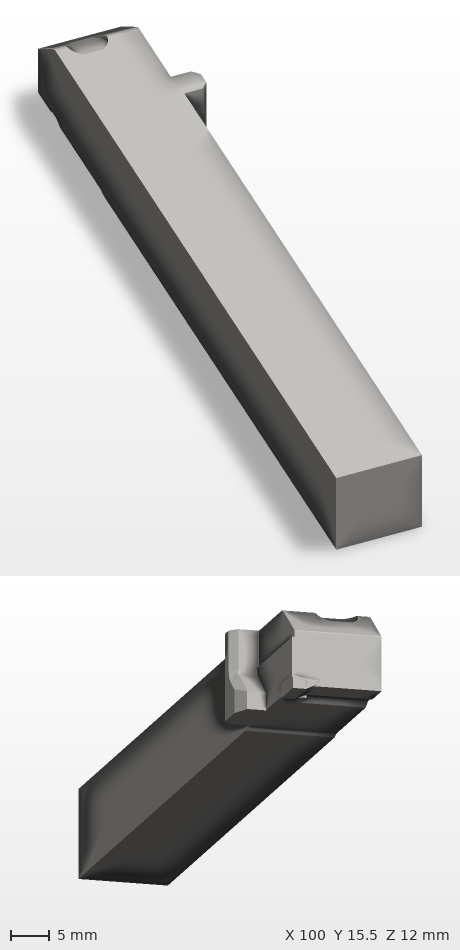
import cadquery as cq

length = 100.0
shank_width = 12.0
shank_height = 12.0
head_start = 0.6
relief_height = 0.3
relief_end = 22.4
relief_ramp = 0.8

slope_foot_z = 7.9
slope_top_x = 6.1
slope_top_bevel = 0.3
slope_foot_bevel = 0.1

recess_depth = 0.3
recess_floor_z = 7.0

tab_reach = 15.5
tab_nose_x = 12.9
tab_wall_x = 17.0
tab_back_x = 20.8
tab_nose_z = 2.7
tab_slope_end_z = 6.1
tab_blend_radius = 1.3
tab_chamfer = 1.0
nose_flank_length = 2.5

spot_diameter = 5.6
spot_y = 4.5
spot_start_x = 3.9
spot_end_x = 8.5
spot_cut_height = 5.0

seat_z = 0.6
hump_z = 0.9
hump_start_x = 5.0
hump_end_x = 6.8
seat_end_x = 8.0
insert_length = 5.4
insert_inner_y = 8.7
insert_outer_y = 12.1
insert_height = 1.9
tip_height = 1.5
tip_inner_y = 10.4
tip_step = 0.3
shelf_inner_lift = 0.8
shelf_inner_top = 1.4


def box_between(low, high):
    """Box given by its lowest and highest corners."""
    size = [b - a for a, b in zip(low, high)]
    return cq.Workplane("XY").box(*size, centered=False).translate(low)


def nearest_edge(x, y, z):
    return cq.selectors.NearestToPointSelector((x, y, z))


def make_body():
    """Side outline of shank and head, extruded across the width."""
    body = (
        cq.Workplane("XZ")
        .moveTo(head_start, seat_z)
        .lineTo(hump_start_x, seat_z)
        .lineTo(hump_start_x, hump_z)
        .lineTo(hump_end_x, hump_z)
        .lineTo(seat_end_x, relief_height)
        .lineTo(relief_end - relief_ramp, relief_height)
        .lineTo(relief_end, 0)
        .lineTo(length, 0)
        .lineTo(length, shank_height)
        .lineTo(slope_top_x, shank_height)
        .lineTo(head_start, slope_foot_z)
        .close()
        .extrude(-shank_width)
    )
    middle_y = shank_width / 2
    body = body.edges(nearest_edge(slope_top_x, middle_y, shank_height)).chamfer(slope_top_bevel)
    return body.edges(nearest_edge(head_start, middle_y, slope_foot_z)).chamfer(slope_foot_bevel)


def make_back_recess():
    return box_between(
        (0, shank_width - recess_depth, recess_floor_z),
        (tab_wall_x, shank_width, shank_height),
    )


def make_spot_recess():
    """Cylinder whose flat floor runs from the slope up to the top face."""
    slope = (shank_height - slope_foot_z) / (slope_top_x - head_start)
    spot_start_z = slope_foot_z + slope * (spot_start_x - head_start)
    run = spot_end_x - spot_start_x
    rise = shank_height - spot_start_z
    floor = cq.Plane(
        origin=((spot_start_x + spot_end_x) / 2, spot_y, (spot_start_z + shank_height) / 2),
        xDir=(run, 0, rise),
        normal=(-rise, 0, run),
    )
    return cq.Workplane(floor).circle(spot_diameter / 2).extrude(spot_cut_height)


def make_tab():
    """Side outline with the nose, blended, chamfered, then slanted beside the nose."""
    root_y = shank_width - recess_depth
    tab = (
        cq.Workplane("XZ", origin=(0, root_y, 0))
        .moveTo(tab_nose_x, relief_height)
        .lineTo(tab_nose_x, tab_nose_z)
        .lineTo(tab_wall_x, tab_slope_end_z)
        .lineTo(tab_wall_x, shank_height)
        .lineTo(tab_back_x, shank_height)
        .lineTo(tab_back_x, relief_height)
        .close()
        .extrude(root_y - tab_reach)
    )
    middle_y = (root_y + tab_reach) / 2
    tab = tab.edges(nearest_edge(tab_wall_x, middle_y, tab_slope_end_z)).fillet(tab_blend_radius)
    wall_edge = nearest_edge(tab_wall_x, tab_reach, shank_height)
    tab = tab.edges("|Z and >Y").edges(wall_edge).chamfer(tab_chamfer)
    tab = tab.faces(">X").edges(">Y").chamfer(tab_chamfer)
    flank = (
        cq.Workplane("XY")
        .moveTo(tab_nose_x, tab_reach - tab_chamfer)
        .lineTo(tab_nose_x + nose_flank_length, tab_reach)
        .lineTo(tab_nose_x, tab_reach)
        .close()
        .extrude(shank_height)
    )
    return tab.cut(flank)


def make_insert():
    """Tapering end outline, extruded along X, with its face stepped back around the tip."""
    insert = (
        cq.Workplane("YZ")
        .moveTo(insert_outer_y, 0)
        .lineTo(tip_inner_y, 0)
        .lineTo(insert_inner_y, shelf_inner_lift)
        .lineTo(insert_inner_y, shelf_inner_top)
        .lineTo(tip_inner_y, tip_height)
        .lineTo(insert_outer_y, insert_height)
        .close()
        .extrude(insert_length)
    )
    beside_tip = box_between((0, insert_inner_y, 0), (tip_step, tip_inner_y, insert_height))
    above_tip = box_between((0, tip_inner_y, tip_height), (tip_step, insert_outer_y, insert_height))
    return insert.cut(beside_tip).cut(above_tip)


def make_insert_backing():
    """Steel behind the insert that keeps the head's underside level."""
    return box_between(
        (insert_length, insert_inner_y, relief_height),
        (seat_end_x, shank_width, insert_height),
    )


result = (
    make_body()
    .cut(make_back_recess())
    .cut(make_spot_recess())
    .union(make_tab())
    .union(make_insert())
    .union(make_insert_backing())
)